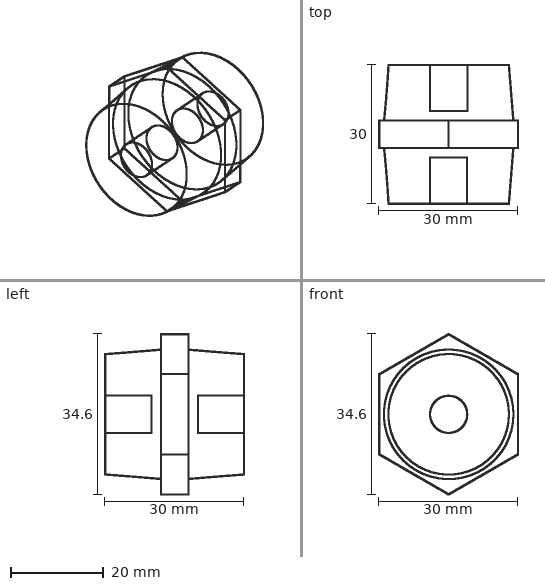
import cadquery as cq
import math

hex_across_corners = 34.65
hex_thickness = 6.0
end_radius = 13.02
root_radius = 14.0
hole_diameter = 8.05
hole_depth = 10.0

across_flats = hex_across_corners * math.cos(math.pi / 6)
half_length = across_flats / 2
half_hex = hex_thickness / 2


def hex_collar():
    """Hexagonal collar centred on the Y axis, with corners at +Z and -Z."""
    return (
        cq.Workplane("XZ")
        .polygon(6, hex_across_corners)
        .extrude(half_hex, both=True)
        .rotate((0, 0, 0), (0, 1, 0), 90)
    )


def tapered_body():
    """Two cones narrowing from the collar to the ends, as one turned body."""
    return (
        cq.Workplane("XY")
        .moveTo(0, -half_length)
        .lineTo(end_radius, -half_length)
        .lineTo(root_radius, -half_hex)
        .lineTo(root_radius, half_hex)
        .lineTo(end_radius, half_length)
        .lineTo(0, half_length)
        .close()
        .revolve(360, (0, 0, 0), (0, 1, 0))
    )


def drill_end(body, end_face):
    """Drill a blind, flat-bottomed hole inward from the selected end face."""
    end_plane = body.faces(end_face).workplane(centerOption="CenterOfMass")
    return end_plane.hole(hole_diameter, hole_depth)


result = tapered_body().union(hex_collar())
for end_face in ("<Y", ">Y"):
    result = drill_end(result, end_face)